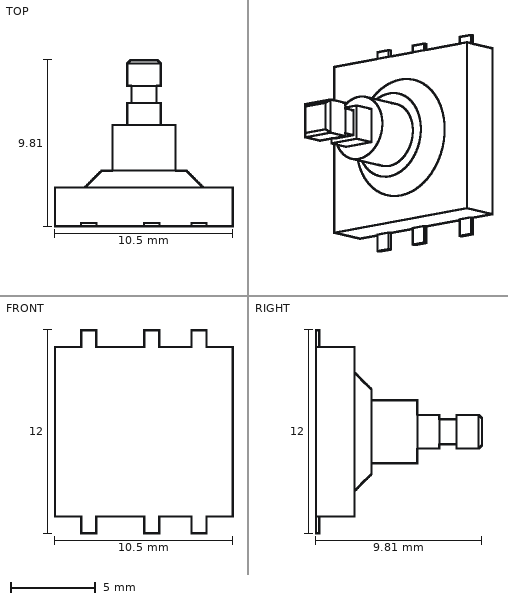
import cadquery as cq

overall_height = 12.0
terminal_reach = 1.0
body_width = 10.5
body_height = overall_height - 2 * terminal_reach
body_depth = 2.29

terminal_width = 0.9
terminal_thickness = 0.2
outer_terminal_offset = 3.25
middle_terminal_offset = 0.45
terminal_positions = (-outer_terminal_offset, middle_terminal_offset, outer_terminal_offset)

collar_length = 1.0
collar_base_diameter = 7.0
collar_top_diameter = 5.0
bushing_diameter = 3.75
bushing_length = 2.7

stem_width = 2.0
neck_width = 1.5
shoulder_length = 1.3
neck_length = 1.01
head_length = 1.51
tip_chamfer = 0.2

collar_end = body_depth + collar_length
bushing_end = collar_end + bushing_length
shoulder_end = bushing_end + shoulder_length
neck_end = shoulder_end + neck_length


def box_along_y(width, height, length, start):
    """Box centred on the Y axis, extending from start toward +Y."""
    return cq.Workplane("XY").box(width, length, height).translate((0, start + length / 2, 0))


def make_terminals():
    """Strips that cross the housing and project from both edges."""
    strip = box_along_y(terminal_width, overall_height, terminal_thickness, 0)
    terminals = cq.Workplane("XY")
    for x in terminal_positions:
        terminals = terminals.add(strip.translate((x, 0, 0)))
    return terminals.combine()


def make_collar_and_bushing():
    """Revolve the cone and cylinder together about the Y axis."""
    return (
        cq.Workplane("XY")
        .moveTo(0, body_depth)
        .lineTo(collar_base_diameter / 2, body_depth)
        .lineTo(collar_top_diameter / 2, collar_end)
        .lineTo(bushing_diameter / 2, collar_end)
        .lineTo(bushing_diameter / 2, bushing_end)
        .lineTo(0, bushing_end)
        .close()
        .revolve(360, (0, 0, 0), (0, 1, 0))
    )


def make_stem():
    shoulder = box_along_y(stem_width, stem_width, shoulder_length, bushing_end)
    neck = box_along_y(neck_width, neck_width, neck_length, shoulder_end)
    head = box_along_y(stem_width, stem_width, head_length, neck_end)
    head = head.faces(">Y").chamfer(tip_chamfer)
    return shoulder.union(neck).union(head)


body = box_along_y(body_width, body_height, body_depth, 0)
result = body.union(make_terminals()).union(make_collar_and_bushing()).union(make_stem())